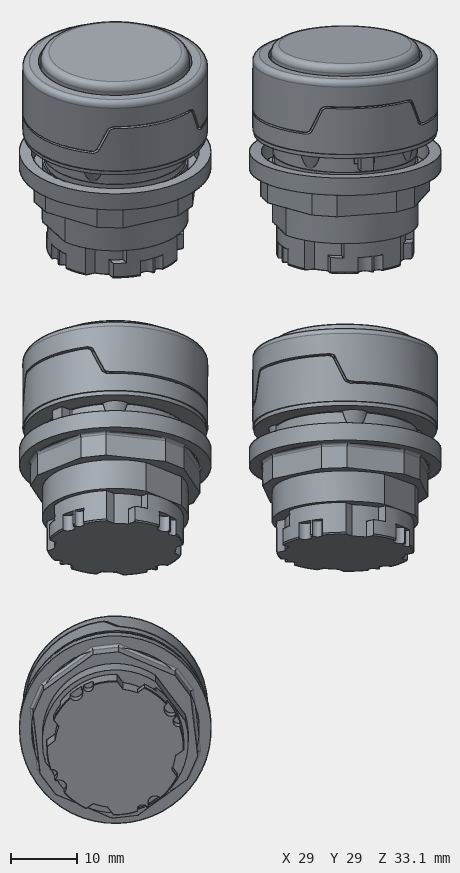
import cadquery as cq
import math

BAYONET_STEP_Z = 2.5
BAYONET_TOP_Z = 4.95
BARREL_TOP_Z = 9.7
FLANGE_BOTTOM_Z = 13.57
RING_TOP_Z = 14.9
COLLAR_BOTTOM_Z = 16.1
FLANGE_TOP_Z = 16.3
COLLAR_TOP_Z = 19.05
SKIRT_BOTTOM_Z = 19.2
BEZEL_BOTTOM_Z = 19.85
BEZEL_TOP_Z = 31.5
CAP_TOP_Z = 33.05

CAP_D = 22.45
CAP_OPENING_D = 23.2
BEZEL_D = 28.0
SKIRT_D = 27.65
SEAM_FLOOR_D = 26.67
COLLAR_D = 21.85
NECK_D = 21.45
RING_D = 22.0
FLANGE_D = 29.0
FLANGE_BORE_D = 25.35
BARREL_D = 22.1
BAYONET_D = 20.75
BAYONET_SLOT_FLOOR_D = 18.35

CAP_FILLET = 1.2
BEZEL_FILLET = 1.0
CAP_GAP_DEPTH = 3.0
NUT_FILLET = 0.44
BAYONET_CHAMFER_HEIGHT = 0.25
BAYONET_CHAMFER_WIDTH = 0.1

NUT_ACROSS_FLATS = 24.0
NUT_ACROSS_CUT_CORNERS = 25.45
NUT_TURN = 30.0

SEAM_WIDTH = 0.3
SEAM_LOW_Z = 22.83
SEAM_HIGH_Z = 27.22
SEAM_HIGH_HALF_WIDTH = 6.95
SEAM_LOW_HALF_WIDTH = 8.7
SEAM_CORNER_RADIUS = 0.9

TAB_WIDTH = 2.04
TAB_REACH = 12.35
TAB_BOTTOM_Z = 16.65
TAB_SLOT_WIDTH = 3.2
TAB_SLOT_BOTTOM_Z = 17.47

BUMP_RADIUS = 2.45
BUMP_ANGLE = 45.0
BUMP_TILT = 15.0
BUMP_TIP_Z = 16.4
BUMP_LENGTH = 10.0

BAYONET_WALL = 6.37
BAYONET_LOWER_STOP = 4.88
BAYONET_UPPER_STOP = 3.0
SCALLOPS = ((0.215, 1.085), (2.385, 0.785))

QUARTER_TURNS = (0, 90, 180, 270)


def cylinder(diameter, bottom, top):
    """Upright cylinder on the part axis."""
    return cq.Workplane("XY").workplane(offset=bottom).circle(diameter / 2).extrude(top - bottom)


def box(x_range, y_range, z_range):
    """Axis-aligned block given by its limits."""
    size = [high - low for low, high in (x_range, y_range, z_range)]
    corner = (x_range[0], y_range[0], z_range[0])
    return cq.Workplane("XY").box(*size, centered=False).translate(corner)


def turned(shape, angle):
    """Shape turned about the part axis."""
    return shape.rotate((0, 0, 0), (0, 0, 1), angle)


def make_bayonet():
    """Lower socket with four stepped bayonet slots and four pairs of rim scallops."""
    radius = BAYONET_D / 2
    body = cylinder(BAYONET_D, 0, BAYONET_TOP_Z)
    body = body.faces("<Z").chamfer(BAYONET_CHAMFER_HEIGHT, BAYONET_CHAMFER_WIDTH)

    lower = box((-radius, -BAYONET_LOWER_STOP), (-radius, -BAYONET_WALL), (0, BAYONET_TOP_Z))
    upper = box((-radius, -BAYONET_UPPER_STOP), (-radius, -BAYONET_WALL), (BAYONET_STEP_Z, BAYONET_TOP_Z))
    slot = lower.union(upper).cut(cylinder(BAYONET_SLOT_FLOOR_D, 0, BAYONET_TOP_Z))

    for angle in QUARTER_TURNS:
        body = body.cut(turned(slot, angle))
        for offset, scallop_radius in SCALLOPS:
            rim_y = -math.sqrt(radius**2 - offset**2)
            scallop = cylinder(2 * scallop_radius, 0, BAYONET_STEP_Z).translate((offset, rim_y, 0))
            body = body.cut(turned(scallop, angle))
    return body


def make_barrel():
    """Cylinder with flats on the -Y and +Y sides, level with the bayonet socket."""
    z_range = (BAYONET_TOP_Z, BARREL_TOP_Z)
    flats = box((-BARREL_D / 2, BARREL_D / 2), (-BAYONET_D / 2, BAYONET_D / 2), z_range)
    return cylinder(BARREL_D, *z_range).intersect(flats)


def hexagon(across_flats, bottom, top):
    """Hexagonal prism with corners on the X axis."""
    corner_diameter = across_flats / math.cos(math.pi / 6)
    return cq.Workplane("XY").workplane(offset=bottom).polygon(6, corner_diameter).extrude(top - bottom)


def make_nut_and_flange():
    """Hexagon with cut corners, blended into the open-topped flange above it."""
    z_range = (BARREL_TOP_Z, FLANGE_BOTTOM_Z)
    flats = turned(hexagon(NUT_ACROSS_FLATS, *z_range), NUT_TURN)
    nut = flats.intersect(hexagon(NUT_ACROSS_CUT_CORNERS, *z_range))
    body = nut.union(cylinder(FLANGE_D, FLANGE_BOTTOM_Z, FLANGE_TOP_Z))
    reach = NUT_ACROSS_CUT_CORNERS / 2 + NUT_FILLET
    junction = cq.selectors.BoxSelector(
        (-reach, -reach, FLANGE_BOTTOM_Z - NUT_FILLET / 2),
        (reach, reach, FLANGE_BOTTOM_Z + NUT_FILLET / 2),
    )
    body = body.edges("%LINE").edges(junction).fillet(NUT_FILLET)
    return body.cut(cylinder(FLANGE_BORE_D, FLANGE_BOTTOM_Z, FLANGE_TOP_Z))


def make_bump():
    """Leaning round bump that grows out of the collar toward its top, on the -X side."""
    tilt = math.radians(BUMP_TILT)
    axis = cq.Vector(-math.sin(tilt), 0, math.cos(tilt))
    outward = cq.Vector(-math.cos(tilt), 0, -math.sin(tilt))
    tip = cq.Vector(-COLLAR_D / 2, 0, BUMP_TIP_Z)
    start = tip - outward * BUMP_RADIUS - axis * (BUMP_LENGTH / 2)
    rod = cq.Workplane(cq.Solid.makeCylinder(BUMP_RADIUS, BUMP_LENGTH, start, axis))
    return rod.intersect(cylinder(BEZEL_D, FLANGE_TOP_Z, BEZEL_BOTTOM_Z))


def make_neck():
    """Stepped neck between flange and bezel, with four bumps and the side tab."""
    collar = cylinder(COLLAR_D, COLLAR_BOTTOM_Z, COLLAR_TOP_Z)
    half_slot = TAB_SLOT_WIDTH / 2
    collar = collar.cut(box((-TAB_REACH, 0), (-half_slot, half_slot), (TAB_SLOT_BOTTOM_Z, COLLAR_TOP_Z)))
    half_tab = TAB_WIDTH / 2
    tab = box((-TAB_REACH, 0), (-half_tab, half_tab), (TAB_BOTTOM_Z, BEZEL_BOTTOM_Z))

    body = cylinder(RING_D, FLANGE_BOTTOM_Z, RING_TOP_Z)
    body = body.union(cylinder(NECK_D, RING_TOP_Z, SKIRT_BOTTOM_Z))
    body = body.union(collar).union(tab)
    for angle in QUARTER_TURNS:
        body = body.union(turned(make_bump(), angle + BUMP_ANGLE))
    return body


def seam_prism(shift):
    """Hat-shaped prism along X whose top follows the seam centre line, moved outward by shift."""
    outline = [
        (-BEZEL_D, 0),
        (-BEZEL_D, SEAM_LOW_Z),
        (-SEAM_LOW_HALF_WIDTH, SEAM_LOW_Z),
        (-SEAM_HIGH_HALF_WIDTH, SEAM_HIGH_Z),
        (SEAM_HIGH_HALF_WIDTH, SEAM_HIGH_Z),
        (SEAM_LOW_HALF_WIDTH, SEAM_LOW_Z),
        (BEZEL_D, SEAM_LOW_Z),
        (BEZEL_D, 0),
    ]
    centre = cq.Workplane("YZ").polyline(outline).close().extrude(BEZEL_D / 2, both=True)
    centre = centre.edges("|X").fillet(SEAM_CORNER_RADIUS)
    profile = centre.faces(">X").wires().val()
    moved = cq.Workplane("YZ").add(profile).toPending().offset2D(shift)
    return moved.extrude(-BEZEL_D)


def make_seam():
    """Narrow groove around the bezel that rises over the -X and +X sides."""
    band = seam_prism(SEAM_WIDTH / 2).cut(seam_prism(-SEAM_WIDTH / 2))
    shell = cylinder(BEZEL_D, BEZEL_BOTTOM_Z, BEZEL_TOP_Z)
    shell = shell.cut(cylinder(SEAM_FLOOR_D, BEZEL_BOTTOM_Z, BEZEL_TOP_Z))
    return shell.intersect(band)


def make_bezel():
    """Rounded head with a lower skirt, the seam groove and the opening for the cap."""
    body = cylinder(BEZEL_D, BEZEL_BOTTOM_Z, BEZEL_TOP_Z).faces(">Z").edges().fillet(BEZEL_FILLET)
    body = body.cut(cylinder(CAP_OPENING_D, BEZEL_TOP_Z - CAP_GAP_DEPTH, BEZEL_TOP_Z))
    body = body.cut(make_seam())
    return body.union(cylinder(SKIRT_D, SKIRT_BOTTOM_Z, BEZEL_BOTTOM_Z))


def make_cap():
    """Push-button cap with a rounded upper edge."""
    body = cylinder(CAP_D, BEZEL_TOP_Z - CAP_GAP_DEPTH, CAP_TOP_Z)
    return body.faces(">Z").edges().fillet(CAP_FILLET)


result = make_bayonet()
for section in (make_barrel(), make_nut_and_flange(), make_neck(), make_bezel(), make_cap()):
    result = result.union(section)